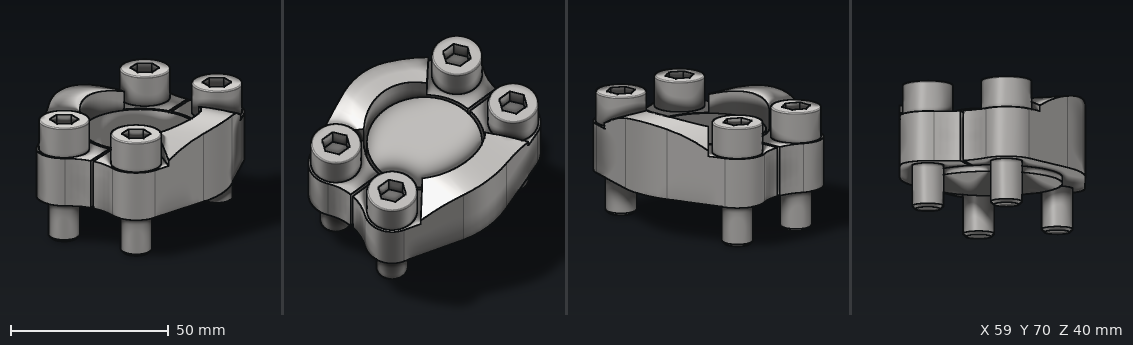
import cadquery as cq
import math

bolt_x = 13.1
bolt_y = 26.2
lobe_radius = 35.0 - bolt_y
side_radius = 29.5
waist_angle = math.radians(30)
split_gap = 1.0
ear_height = 16.0
crown_height = 24.0
crown_radius = 47.4
bore_diameter = 38.5

face_diameter = 44.4
face_thickness = 2.0
bead_diameter = 39.95
bead_height = 1.55
bead_radius = 1.95
collar_top = 4.8
plug_diameter = 36.5
plug_top = ear_height

head_diameter = 16.0
head_height = 10.0
head_edge_fillet = 0.4
shank_diameter = 10.0
shank_bottom = -14.0
shank_chamfer = 1.0
socket_width = 8.0
socket_depth = 5.0


def outline_profile():
    """Clamp outline: four lobes joined by straight tangents, bulged sides and end hollows."""
    bolt_distance = math.hypot(bolt_x, bolt_y)
    normal = math.atan2(bolt_y, bolt_x) - math.acos((side_radius - lobe_radius) / bolt_distance)
    side_x = side_radius * math.cos(normal)
    side_y = side_radius * math.sin(normal)
    lobe_x = bolt_x + lobe_radius * math.cos(normal)
    lobe_y = bolt_y + lobe_radius * math.sin(normal)

    hollow_radius = bolt_x / math.sin(waist_angle) - lobe_radius
    waist_x = bolt_x - lobe_radius * math.sin(waist_angle)
    waist_y = bolt_y + lobe_radius * math.cos(waist_angle)
    hollow_y = bolt_y + bolt_x / math.tan(waist_angle) - hollow_radius
    lobe_end_y = bolt_y + lobe_radius

    return (
        cq.Workplane("XY")
        .moveTo(side_x, -side_y)
        .threePointArc((side_radius, 0), (side_x, side_y))
        .lineTo(lobe_x, lobe_y)
        .threePointArc((bolt_x, lobe_end_y), (waist_x, waist_y))
        .threePointArc((0, hollow_y), (-waist_x, waist_y))
        .threePointArc((-bolt_x, lobe_end_y), (-lobe_x, lobe_y))
        .lineTo(-side_x, side_y)
        .threePointArc((-side_radius, 0), (-side_x, -side_y))
        .lineTo(-lobe_x, -lobe_y)
        .threePointArc((-bolt_x, -lobe_end_y), (-waist_x, -waist_y))
        .threePointArc((0, -hollow_y), (waist_x, -waist_y))
        .threePointArc((bolt_x, -lobe_end_y), (lobe_x, -lobe_y))
        .close()
    )


def arched_sides():
    """Raised side walls: 45 degree sectors about the axis, topped by one arch."""
    reach = 2 * side_radius
    sectors = (
        cq.Workplane("XY")
        .polyline([(0, 0), (reach, -reach), (reach, reach)]).close()
        .polyline([(0, 0), (-reach, reach), (-reach, -reach)]).close()
        .extrude(crown_height)
    )
    arch = (
        cq.Workplane("YZ")
        .center(0, crown_height - crown_radius)
        .circle(crown_radius)
        .extrude(reach, both=True)
    )
    return outline_profile().extrude(crown_height).intersect(sectors).intersect(arch)


def clamp_halves():
    body = outline_profile().extrude(ear_height).union(arched_sides())
    bore = cq.Workplane("XY").circle(bore_diameter / 2).extrude(crown_height)
    split = cq.Workplane("XY").box(
        split_gap, 2 * (bolt_y + lobe_radius), crown_height, centered=(True, True, False)
    )
    return body.cut(bore).cut(split)


def flange_plug():
    """Turned plug: face disc, rounded bead, collar and cap."""
    profile = (
        cq.Workplane("XZ")
        .moveTo(0, -face_thickness)
        .lineTo(face_diameter / 2, -face_thickness)
        .lineTo(face_diameter / 2, 0)
        .lineTo(bead_diameter / 2, 0)
        .radiusArc((bore_diameter / 2, bead_height), -bead_radius)
        .lineTo(bore_diameter / 2, collar_top)
        .lineTo(plug_diameter / 2, collar_top)
        .lineTo(plug_diameter / 2, plug_top)
        .lineTo(0, plug_top)
        .close()
    )
    return profile.revolve(360, (0, 0, 0), (0, 1, 0))


def socket_bolt():
    """Bolt on the Z axis with its head seated on the clamp ears."""
    shank = (
        cq.Workplane("XY", origin=(0, 0, shank_bottom))
        .circle(shank_diameter / 2)
        .extrude(ear_height - shank_bottom)
        .faces("<Z").chamfer(shank_chamfer)
    )
    head = (
        cq.Workplane("XY", origin=(0, 0, ear_height))
        .circle(head_diameter / 2)
        .extrude(head_height)
        .faces(">Z").edges().fillet(head_edge_fillet)
    )
    socket = (
        cq.Workplane("XY", origin=(0, 0, ear_height + head_height))
        .polygon(6, socket_width, circumscribed=True)
        .extrude(-socket_depth)
    )
    return shank.union(head).cut(socket)


result = clamp_halves().union(flange_plug())
for x in (-bolt_x, bolt_x):
    for y in (-bolt_y, bolt_y):
        result = result.union(socket_bolt().translate((x, y, 0)))